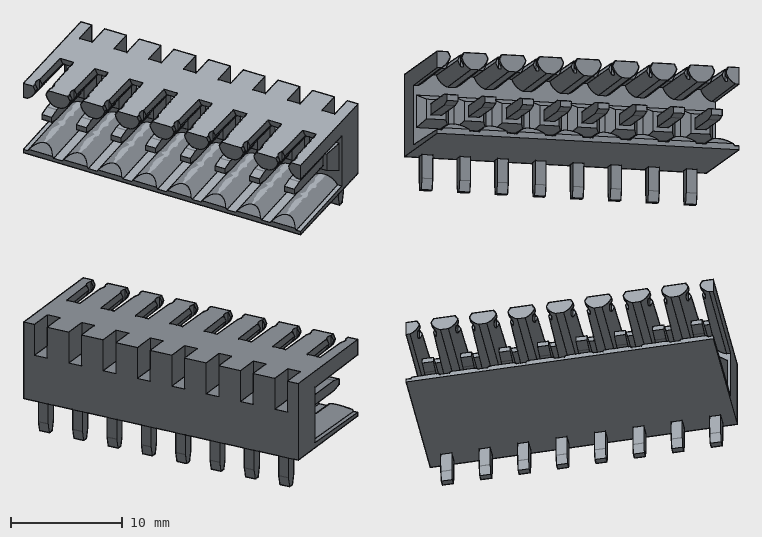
import cadquery as cq

PIN_COUNT = 8
LENGTH = 28.0
PITCH = LENGTH / PIN_COUNT
DEPTH = 11.05
HEIGHT = 7.5
LEG_LENGTH = 3.15
CAVITY_DEPTH = 7.92

TOOTH_FLAT_HALF = 0.35
TOOTH_BULGE = 0.17
TOOTH_BOTTOM_BACK = 5.9
TOOTH_BOTTOM_FACE = 6.0
WEB_BOTTOM_BACK = 6.95
WEB_BOTTOM_FACE = 7.05
GAP_HALF_BACK = 0.35
GAP_HALF_FACE = 0.53
FLOOR_BACK = 0.5
FLOOR_FACE = 0.35
RIDGE_HEIGHT = 0.73
RIDGE_HALF_WIDTH = 1.32

RIDGE_SLOPE_LENGTH = 0.85
RIDGE_SLOPE_BOTTOM = 0.53

SLOT_LENGTH = 5.05
SLOT_TOP_HALF_END = 0.67
SLOT_TOP_HALF_FACE = 0.75
RELIEF_RADIUS = 0.87
RELIEF_Y = 0.8
RELIEF_LENGTH = 0.85

BACK_SLOT_WIDTH = 1.3
BACK_SLOT_LENGTH = 2.4
BACK_SLOT_FLOOR = 4.48

BOSS_BASE = 2.97
BOSS_TOP = 1.8
BOSS_LENGTH = 1.25

PIN_SIZE = 1.0
PIN_Z = 3.55
PIN_TIP_Y = 1.18
LEG_Y = 10.1
TIP_LENGTH = 0.98
TIP_SIZE = 0.53

PIN_POSITIONS = [(i + 0.5) * PITCH for i in range(PIN_COUNT)]


def between(face, back, y):
    """Value at depth y of a size that changes evenly from the mating face to the cavity back wall."""
    return face + (back - face) * y / CAVITY_DEPTH


def section_at(y):
    """XZ workplane at depth y."""
    return cq.Workplane("XZ", origin=(0, y, 0))


def cavity_section(x, y):
    """One pitch of the cavity: toothed ceiling above, round ridge on the floor below."""
    tooth_bottom = between(TOOTH_BOTTOM_FACE, TOOTH_BOTTOM_BACK, y)
    web_bottom = between(WEB_BOTTOM_FACE, WEB_BOTTOM_BACK, y)
    gap_half = between(GAP_HALF_FACE, GAP_HALF_BACK, y)
    floor = between(FLOOR_FACE, FLOOR_BACK, y)
    ridge_top = floor + RIDGE_HEIGHT

    flat_end = PITCH / 2 - TOOTH_FLAT_HALF
    return (
        section_at(y)
        .moveTo(x - PITCH / 2, tooth_bottom)
        .lineTo(x - flat_end, tooth_bottom)
        .sagittaArc((x - gap_half, web_bottom), -TOOTH_BULGE)
        .lineTo(x + gap_half, web_bottom)
        .sagittaArc((x + flat_end, tooth_bottom), -TOOTH_BULGE)
        .lineTo(x + PITCH / 2, tooth_bottom)
        .lineTo(x + PITCH / 2, floor)
        .lineTo(x + RIDGE_HALF_WIDTH, floor)
        .threePointArc((x, ridge_top), (x - RIDGE_HALF_WIDTH, floor))
        .lineTo(x - PITCH / 2, floor)
        .close()
        .val()
    )


def cavity(x):
    """Drafted cavity over one pitch, centred on the pin at x."""
    sections = [cavity_section(x, 0), cavity_section(x, CAVITY_DEPTH)]
    return cq.Workplane(obj=cq.Solid.makeLoft(sections, True))


def slot_section(x, y, top_half):
    """Slot outline at depth y, from the gap between the teeth up to the top face."""
    gap_half = between(GAP_HALF_FACE, GAP_HALF_BACK, y)
    web_bottom = between(WEB_BOTTOM_FACE, WEB_BOTTOM_BACK, y)
    corners = [
        (x - gap_half, web_bottom),
        (x + gap_half, web_bottom),
        (x + top_half, HEIGHT),
        (x - top_half, HEIGHT),
    ]
    return section_at(y).polyline(corners).close().val()


def ceiling_slot(x):
    """Slot through the ceiling above the pin at x."""
    sections = [
        slot_section(x, 0, SLOT_TOP_HALF_FACE),
        slot_section(x, SLOT_LENGTH, SLOT_TOP_HALF_END),
    ]
    return cq.Workplane(obj=cq.Solid.makeLoft(sections, True))


def slot_relief(x):
    """Upright barrel with bulging sides and flat ends in Y, centred on a ceiling slot."""
    relief_height = HEIGHT - TOOTH_BOTTOM_BACK
    start = cq.Workplane("XY", origin=(x, RELIEF_Y, TOOTH_BOTTOM_BACK))
    flat_ends = start.rect(2 * RELIEF_RADIUS, RELIEF_LENGTH).extrude(relief_height)
    return start.circle(RELIEF_RADIUS).extrude(relief_height).intersect(flat_ends)


def back_slot(x):
    """Blind slot in the top face at the back, above the pin leg."""
    slot_height = HEIGHT - BACK_SLOT_FLOOR
    return (
        cq.Workplane("XY", origin=(x, DEPTH - BACK_SLOT_LENGTH / 2, BACK_SLOT_FLOOR))
        .rect(BACK_SLOT_WIDTH, BACK_SLOT_LENGTH)
        .extrude(slot_height)
    )


def ridge_slope():
    """Wedge that slopes the front ends of all the floor ridges."""
    slope_rise = (FLOOR_FACE + RIDGE_HEIGHT - RIDGE_SLOPE_BOTTOM) / RIDGE_SLOPE_LENGTH
    wedge_length = 2 * RIDGE_SLOPE_LENGTH
    wedge_top = RIDGE_SLOPE_BOTTOM + wedge_length * slope_rise
    corners = [(0, RIDGE_SLOPE_BOTTOM), (wedge_length, wedge_top), (0, wedge_top)]
    return cq.Workplane("YZ").polyline(corners).close().extrude(LENGTH)


def boss(x):
    """Four-sided tapered boss standing on the cavity back wall."""
    return (
        cq.Workplane("XZ", origin=(x, CAVITY_DEPTH, PIN_Z))
        .rect(BOSS_BASE, BOSS_BASE)
        .workplane(offset=BOSS_LENGTH)
        .rect(BOSS_TOP, BOSS_TOP)
        .loft(ruled=True)
    )


def pin(x):
    """L-shaped pin: contact along Y, leg down along Z, both ends tapered in the YZ plane."""
    half = PIN_SIZE / 2
    tip_half = TIP_SIZE / 2
    contact_taper_y = PIN_TIP_Y + TIP_LENGTH
    leg_taper_z = TIP_LENGTH - LEG_LENGTH
    outline = [
        (PIN_TIP_Y, PIN_Z - tip_half),
        (PIN_TIP_Y, PIN_Z + tip_half),
        (contact_taper_y, PIN_Z + half),
        (LEG_Y + half, PIN_Z + half),
        (LEG_Y + half, leg_taper_z),
        (LEG_Y + tip_half, -LEG_LENGTH),
        (LEG_Y - tip_half, -LEG_LENGTH),
        (LEG_Y - half, leg_taper_z),
        (LEG_Y - half, PIN_Z - half),
        (contact_taper_y, PIN_Z - half),
    ]
    start = cq.Workplane("YZ", origin=(x - half, 0, 0))
    return start.polyline(outline).close().extrude(PIN_SIZE)


pins = [pin(x) for x in PIN_POSITIONS]

housing = cq.Workplane("XY").box(LENGTH, DEPTH, HEIGHT, centered=False)
for x in PIN_POSITIONS:
    housing = housing.cut(cavity(x)).cut(ceiling_slot(x)).cut(slot_relief(x)).cut(back_slot(x))
housing = housing.cut(ridge_slope())
for x, pin_body in zip(PIN_POSITIONS, pins):
    housing = housing.union(boss(x)).cut(pin_body)

result = cq.Compound.makeCompound([housing.val(), *[pin_body.val() for pin_body in pins]])